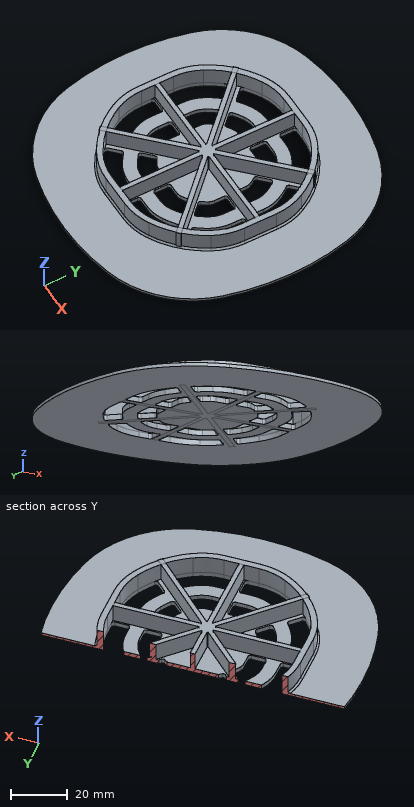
import cadquery as cq
import math

flange_half = 58.2
flange_side_radius = 97.9
flange_corner_reach = 62.3
flange_thickness = 1.3

total_height = 9.0
collar_half = 37.4
corner_bulge = 1.6
flat_half_length = 6.5
collar_wall = 2.3
collar_foot = 0.7
opening_half = collar_half - collar_wall
floor_thickness = 2.0

bar_count = 4
spoke_width = 1.9
spoke_overhang = 0.2
hub_radius = 2.9

outer_ring = (28.3, opening_half)
inner_ring = (16.2, 23.0)
side_gap = 1.5
outer_diagonal_gap = 2.5
inner_diagonal_gap = 1.6
slot_corner_radius = 0.9
tolerance = 0.001


def turned(x, y, quarter_turns):
    """The point (x, y) turned about the origin by whole quarter turns."""
    for _ in range(quarter_turns):
        x, y = -y, x
    return x, y


def flange():
    """Side arcs and corner arcs that share a tangent where they meet."""
    side_centre = flange_half - flange_side_radius
    radius_excess = flange_side_radius - flange_corner_reach
    corner_offset = (side_centre**2 - radius_excess**2) / (2 * radius_excess + math.sqrt(2) * side_centre)
    corner_radius = flange_corner_reach - corner_offset
    corner_centre = corner_offset / math.sqrt(2)
    join_angle = math.atan2(corner_centre, corner_centre - side_centre)
    join_far = corner_centre + corner_radius * math.cos(join_angle)
    join_near = corner_centre + corner_radius * math.sin(join_angle)
    diagonal = flange_corner_reach / math.sqrt(2)

    outline = cq.Workplane("XY").moveTo(join_far, -join_near)
    for quarter in range(4):
        side_middle = turned(flange_half, 0, quarter)
        side_end = turned(join_far, join_near, quarter)
        corner_middle = turned(diagonal, diagonal, quarter)
        corner_end = turned(join_near, join_far, quarter)
        outline = outline.threePointArc(side_middle, side_end).threePointArc(corner_middle, corner_end)
    return outline.close().extrude(flange_thickness)


def flattened_disc(half, height):
    """A disc with four flats, each eased into the round stretches by a blend arc.

    The flats keep their length at every size, so discs of different sizes are offsets of each other.
    """
    radius = half + corner_bulge
    blend_height = (flat_half_length**2 - corner_bulge**2) / (2 * corner_bulge)
    blend = half - blend_height
    disc = cq.Workplane("XY").circle(radius).extrude(height)
    square = cq.Workplane("XY").rect(2 * half, 2 * half).extrude(height)
    return disc.intersect(square).edges("|Z").fillet(blend)


def collar():
    foot_height = flange_thickness + collar_foot
    wall = flattened_disc(collar_half, total_height)
    foot = flattened_disc(collar_half + collar_foot, foot_height).faces(">Z").chamfer(collar_foot)
    return wall.union(foot)


def opening():
    """The space inside the collar, above the grate floor."""
    return flattened_disc(opening_half, total_height).translate((0, 0, floor_thickness))


def spokes():
    diagonal_reach = collar_half + corner_bulge + spoke_overhang
    body = cq.Workplane("XY").circle(hub_radius).extrude(total_height)
    for i in range(bar_count):
        reach = opening_half if i % 2 == 0 else diagonal_reach
        bar = cq.Workplane("XY").rect(2 * reach, spoke_width).extrude(total_height)
        body = body.union(bar.rotate((0, 0, 0), (0, 0, 1), i * 180 / bar_count))
    return body


def slot(ring, diagonal_gap):
    """The slot lying between the +X spoke and the next diagonal spoke."""
    inner_half, outer_half = ring
    band = flattened_disc(outer_half, floor_thickness).cut(flattened_disc(inner_half, floor_thickness))
    diagonal_shift = diagonal_gap * math.sqrt(2)
    sector = (
        cq.Workplane("XY")
        .moveTo(side_gap + diagonal_shift, side_gap)
        .lineTo(flange_half, side_gap)
        .lineTo(flange_half, flange_half - diagonal_shift)
        .close()
        .extrude(floor_thickness)
    )
    body = band.intersect(sector)

    def at_slot_end(edge):
        place = edge.Center()
        on_side = abs(place.y - side_gap) < tolerance
        on_diagonal = abs(place.x - place.y - diagonal_shift) < tolerance
        return on_side or on_diagonal

    return body.edges("|Z").filter(at_slot_end).fillet(slot_corner_radius)


def slots():
    eighth = slot(outer_ring, outer_diagonal_gap).union(slot(inner_ring, inner_diagonal_gap))
    pair = eighth.union(eighth.mirror("XZ"))
    body = pair
    for i in range(1, 4):
        body = body.union(pair.rotate((0, 0, 0), (0, 0, 1), i * 90))
    return body


body = flange().union(collar()).cut(opening()).cut(slots())
result = body.union(spokes(), clean=False)